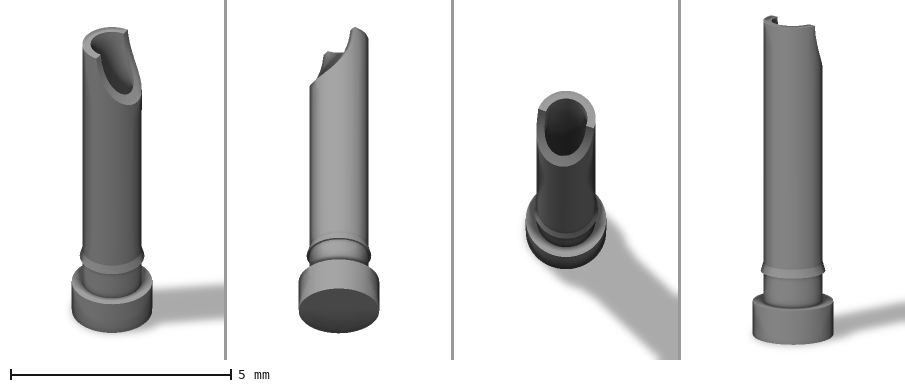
import cadquery as cq
import math

total_height = 7.37
head_diameter = 1.83
head_height = 0.795
tube_diameter = 1.35
bore_diameter = 0.97

barb_diameter = 1.47
barb_bottom = 1.5
barb_top = 1.7

bore_depth = 3.685
cone_angle = 105.0

scoop_drop = 1.35
scoop_radius = 2.0

tube_radius = tube_diameter / 2
bore_radius = bore_diameter / 2


def make_pin():
    """Solid of revolution: head, neck, barb and tube."""
    profile = (
        cq.Workplane("XZ")
        .lineTo(head_diameter / 2, 0)
        .lineTo(head_diameter / 2, head_height)
        .lineTo(tube_radius, head_height)
        .lineTo(tube_radius, barb_bottom)
        .lineTo(barb_diameter / 2, barb_bottom)
        .lineTo(tube_radius, barb_top)
        .lineTo(tube_radius, total_height)
        .lineTo(0, total_height)
        .close()
    )
    return profile.revolve(360, (0, 0, 0), (0, 1, 0))


def make_bore():
    """Drilled hole from the tip, ending in a cone."""
    shoulder = total_height - bore_depth
    cone_height = bore_radius / math.tan(math.radians(cone_angle / 2))
    profile = (
        cq.Workplane("XZ")
        .moveTo(0, shoulder - cone_height)
        .lineTo(bore_radius, shoulder)
        .lineTo(bore_radius, total_height)
        .lineTo(0, total_height)
        .close()
    )
    return profile.revolve(360, (0, 0, 0), (0, 1, 0))


def make_scoop():
    """Concave cut across the tip that opens the bore towards +X."""
    profile = (
        cq.Workplane("XZ")
        .moveTo(0, total_height)
        .radiusArc((tube_radius, total_height - scoop_drop), -scoop_radius)
        .lineTo(tube_diameter, total_height - scoop_drop)
        .lineTo(tube_diameter, total_height)
        .close()
    )
    return profile.extrude(tube_diameter, both=True)


result = make_pin().cut(make_bore()).cut(make_scoop())